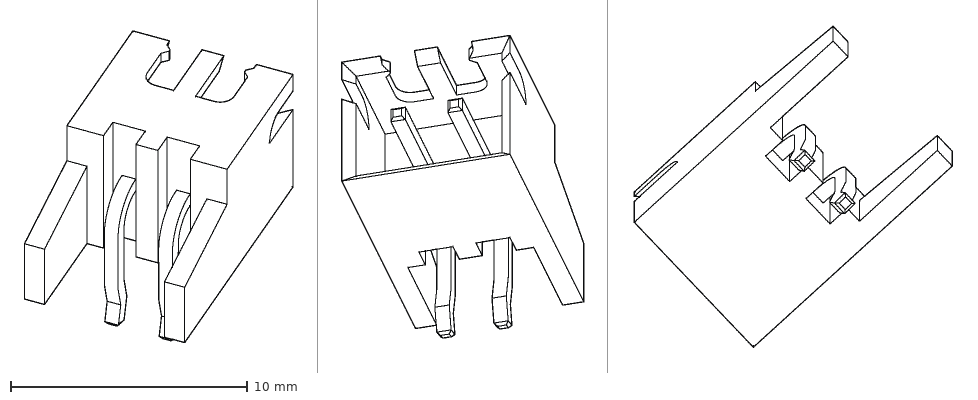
import cadquery as cq
import math


width = 7.4
length = 11.5
height = 6.1
body_length = 7.0
wing_thickness = 0.93
wing_shoulder_height = 4.2
wing_end_height = 3.0

wall = 0.5
flare = wall
cavity_depth = 5.0

contact_pitch = 2.51
contact_slot_width = 1.5
front_slot_depth = 0.99
roof_slot_depth = 3.0
roof_slot_radius = 0.64
latch_start = 0.28
latch_height = 0.26
latch_tip_length = 0.12
side_slot_height = 1.0
side_slot_depth = 2.5

pin_size = 0.63
pin_top = 3.36
pin_front = 7.91
bend_radius = 1.82
kink_angle = math.radians(15)
kink_start = -1.16
kink_middle = -2.28
pin_bottom = -3.45
tip_chamfer = 0.13

contact_positions = (-contact_pitch / 2, contact_pitch / 2)


def box(x_min, x_max, y_min, y_max, z_min, z_max):
    """Axis-aligned block given by its limits."""
    block = cq.Workplane("XY").box(x_max - x_min, y_max - y_min, z_max - z_min, centered=False)
    return block.translate((x_min, y_min, z_min))


def make_shell():
    """Side profile with sloped wings; the space between the wings is left open."""
    profile = (
        cq.Workplane("YZ")
        .polyline([
            (0, 0),
            (0, height),
            (-body_length, height),
            (-body_length, wing_shoulder_height),
            (-length, wing_end_height),
            (-length, 0),
        ])
        .close()
        .extrude(width / 2, both=True)
    )
    half_gap = width / 2 - wing_thickness
    return profile.cut(box(-half_gap, half_gap, -length, -body_length, 0, height))


def make_cavity():
    """Rectangular cavity whose mouth flares out towards the rear face."""
    inner_width = width - 2 * wall
    inner_height = height - 2 * wall
    cavity = box(-inner_width / 2, inner_width / 2, -cavity_depth, 0, wall, height - wall)
    mouth = (
        cq.Workplane("XZ", origin=(0, 0, height / 2))
        .rect(inner_width + 2 * flare, inner_height + 2 * flare)
        .workplane(offset=flare)
        .rect(inner_width, inner_height)
        .loft(ruled=True)
    )
    return cavity.union(mouth)


def make_roof_slot():
    """Right-hand roof slot, with a rounded outer corner and a latch bump with 45 degree flanks."""
    inner = contact_pitch / 2 - contact_slot_width / 2
    outer = inner + contact_slot_width
    latch_end = latch_start + 2 * latch_height + latch_tip_length
    corner_offset = roof_slot_radius * (1 - math.sqrt(0.5))
    return (
        cq.Workplane("XY", origin=(0, 0, height / 2))
        .moveTo(inner, 0)
        .lineTo(outer, 0)
        .lineTo(outer, -latch_start)
        .lineTo(outer - latch_height, -latch_start - latch_height)
        .lineTo(outer - latch_height, -latch_end + latch_height)
        .lineTo(outer, -latch_end)
        .lineTo(outer, roof_slot_radius - roof_slot_depth)
        .threePointArc(
            (outer - corner_offset, corner_offset - roof_slot_depth),
            (outer - roof_slot_radius, -roof_slot_depth),
        )
        .lineTo(inner, -roof_slot_depth)
        .close()
        .extrude(height / 2)
    )


def make_side_slot():
    """Slot across both side walls, with its upper inner corner rounded to full height."""
    bottom = wing_shoulder_height
    top = bottom + side_slot_height
    arc_reach = side_slot_height * math.sqrt(0.5)
    arc_start = side_slot_height - side_slot_depth
    return (
        cq.Workplane("YZ")
        .moveTo(0, bottom)
        .lineTo(0, top)
        .lineTo(arc_start, top)
        .threePointArc((arc_start - arc_reach, bottom + arc_reach), (-side_slot_depth, bottom))
        .close()
        .extrude(width / 2, both=True)
    )


def make_housing():
    housing = make_shell().cut(make_cavity()).cut(make_side_slot())
    roof_slot = make_roof_slot()
    housing = housing.cut(roof_slot).cut(roof_slot.mirror("YZ"))
    for x in contact_positions:
        housing = housing.cut(box(
            x - contact_slot_width / 2, x + contact_slot_width / 2,
            -body_length, front_slot_depth - body_length, 0, height,
        ))
    return housing


def make_pin():
    """Square pin: straight from the rear, bent down, then kinked rearward and forward at the tail."""
    half = pin_size / 2
    tail_y = half - pin_front
    kink_y = tail_y + (kink_start - kink_middle) * math.tan(kink_angle)
    mitre = half * math.tan(kink_angle / 2)
    level_half = half / math.cos(kink_angle)
    end_z = pin_bottom + (half - tip_chamfer) * math.sin(kink_angle)
    end_y = kink_y - (kink_middle - end_z) * math.tan(kink_angle)
    across_y = half * math.cos(kink_angle)
    across_z = half * math.sin(kink_angle)
    inner_radius = bend_radius - pin_size
    bend_y = bend_radius - pin_front
    bend_z = pin_top - bend_radius
    diagonal = math.sqrt(0.5)
    pin = (
        cq.Workplane("YZ")
        .moveTo(0, pin_top)
        .lineTo(bend_y, pin_top)
        .threePointArc(
            (bend_y - bend_radius * diagonal, bend_z + bend_radius * diagonal),
            (-pin_front, bend_z),
        )
        .lineTo(-pin_front, kink_start - mitre)
        .lineTo(kink_y - level_half, kink_middle)
        .lineTo(end_y - across_y, end_z + across_z)
        .lineTo(end_y + across_y, end_z - across_z)
        .lineTo(kink_y + level_half, kink_middle)
        .lineTo(pin_size - pin_front, kink_start + mitre)
        .lineTo(pin_size - pin_front, bend_z)
        .threePointArc(
            (bend_y - inner_radius * diagonal, bend_z + inner_radius * diagonal),
            (bend_y, pin_top - pin_size),
        )
        .lineTo(0, pin_top - pin_size)
        .close()
        .extrude(half, both=True)
    )
    pin = pin.faces(">Y").chamfer(tip_chamfer)
    tail_end = cq.selectors.NearestToPointSelector((0, end_y, end_z))
    return pin.faces(tail_end).chamfer(tip_chamfer)


result = make_housing()
pin = make_pin()
for x in contact_positions:
    result = result.union(pin.translate((x, 0, 0)))